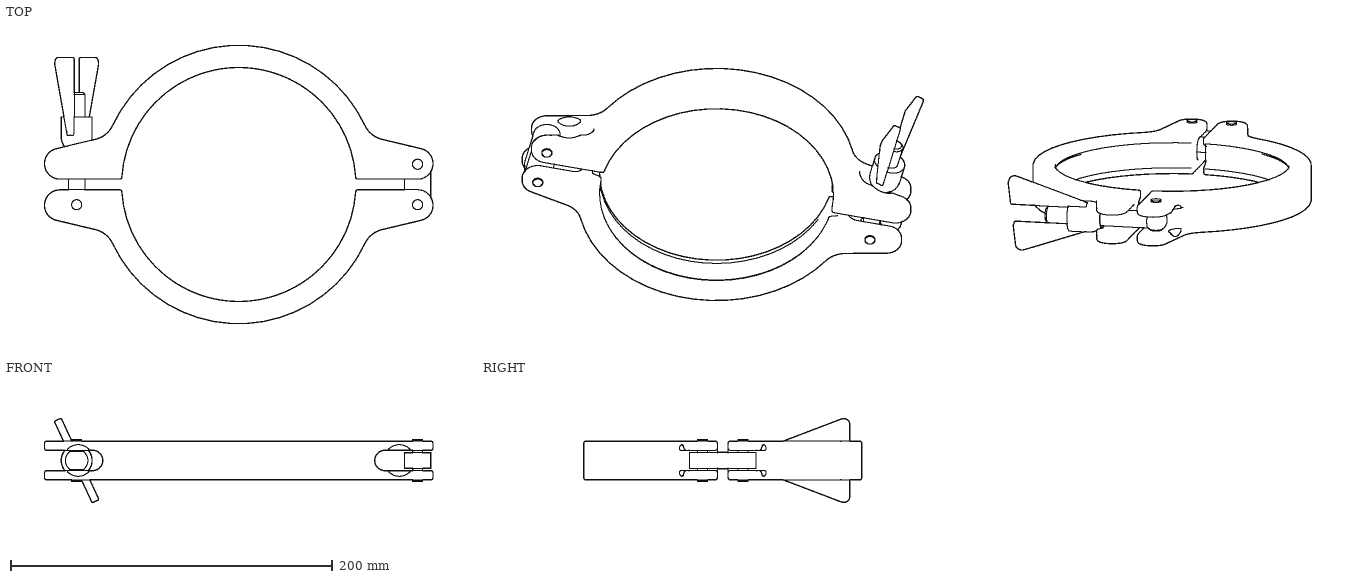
import cadquery as cq
import math

clamp_height = 24.2
ring_radius = 173.5 / 2
bore_radius = 72.8
half_gap = 6.5 / 2
edge_radius = 1.5

lug_reach = 121.0
lug_tip_radius = 9.7
lug_slope = math.radians(13.4)
lug_root_radius = 15.7
lug_tip_x = lug_reach - lug_tip_radius
lug_tip_y = half_gap + lug_tip_radius

groove_radius = 78.5
groove_mouth = 14.0
groove_wall_angle = math.radians(20)

slot_height = 12.5
slot_end_x = 84.7

pin_radius = 3.1
pin_length = 26.0
pin_y = 12.5
swivel_x = 101.0

link_radius = 8.2
link_height = 10.0

bolt_radius = 10.5 / 2
bolt_end_y = 57.4
bolt_chamfer = 1.2
eye_radius = 7.0
eye_height = 11.4

nut_radius = 9.7
nut_top_y = 42.0
dome_center_y = 29.5
nut_base_y = 22.0
seat_radius = 10.6

wing_end_y = 79.1
wing_inner = 8.0
wing_root = 9.2
wing_reach = 30.0
wing_thickness = 4.8
wing_tilt = 24.9
wing_outer_round = 3.9
wing_inner_round = 1.2
wing_edge_radius = 1.0


def polar(center, radius, angle):
    """Point at an angle (radians) on a circle."""
    return (center[0] + radius * math.cos(angle), center[1] + radius * math.sin(angle))


def half_outline():
    """Solid outline of the +Y half: two sloped lugs blended into the ring."""
    tip = (lug_tip_x, lug_tip_y)
    normal = math.pi / 2 - lug_slope
    offset = tip[0] * math.cos(normal) + tip[1] * math.sin(normal)
    offset += lug_tip_radius + lug_root_radius
    blend_distance = ring_radius + lug_root_radius
    blend_angle = normal - math.acos(offset / blend_distance)
    blend_center = polar((0, 0), blend_distance, blend_angle)
    slope_start = polar(tip, lug_tip_radius, normal)
    slope_end = polar(blend_center, lug_root_radius, normal + math.pi)
    ring_start = polar((0, 0), ring_radius, blend_angle)
    blend_mid_angle = (normal + blend_angle) / 2 + math.pi
    blend_mid = polar(blend_center, lug_root_radius, blend_mid_angle)
    tip_mid = polar(tip, lug_tip_radius, (normal - math.pi / 2) / 2)

    def left(point):
        """Mirror a point to the -X side."""
        return (-point[0], point[1])

    return (
        cq.Workplane("XY", origin=(0, 0, -clamp_height / 2))
        .moveTo(-lug_tip_x, half_gap)
        .lineTo(lug_tip_x, half_gap)
        .threePointArc(tip_mid, slope_start)
        .lineTo(*slope_end)
        .threePointArc(blend_mid, ring_start)
        .threePointArc((0, ring_radius), left(ring_start))
        .threePointArc(left(blend_mid), left(slope_end))
        .lineTo(*left(slope_start))
        .threePointArc(left(tip_mid), (-lug_tip_x, half_gap))
        .close()
    )


def bore_and_groove():
    """Bore with the tapered groove, as one revolved cutter."""
    mouth = groove_mouth / 2
    floor = mouth - (groove_radius - bore_radius) * math.tan(groove_wall_angle)
    return (
        cq.Workplane("XZ")
        .polyline([
            (0, -clamp_height), (bore_radius, -clamp_height), (bore_radius, -mouth),
            (groove_radius, -floor), (groove_radius, floor),
            (bore_radius, mouth), (bore_radius, clamp_height), (0, clamp_height),
        ])
        .close()
        .revolve(360, (0, 0, 0), (0, 1, 0))
    )


def clamp_half():
    """The +Y half: grooved, slotted, rounded on its edges, with a nut seat in each lug."""
    body = half_outline().extrude(clamp_height).cut(bore_and_groove())
    slot_center = slot_end_x + lug_reach
    for side in (-1, 1):
        slot = (
            cq.Workplane("XZ", origin=(side * slot_center, 0, 0))
            .slot2D(2 * lug_reach, slot_height)
            .extrude(-ring_radius)
        )
        body = body.cut(slot)
    sharp_edges = [edge for edge in body.edges().vals() if not is_smooth(edge)]
    body = body.newObject(sharp_edges).fillet(edge_radius)
    seat = dome_ball(seat_radius)
    return body.cut(seat).cut(seat.mirror("YZ"))


def is_smooth(edge):
    """True where tangent faces meet: along the slot end and beside the lug arcs."""
    if edge.geomType() != "LINE":
        return False
    direction = edge.tangentAt(0)
    along_slot = abs(direction.y) > 0.999
    upright_outside = abs(direction.z) > 0.999 and abs(edge.Center().x) > groove_radius
    return along_slot or upright_outside


def dome_ball(radius):
    """Ball about the dome center, for the nut base and for the seats in the lugs."""
    return cq.Workplane("XY").sphere(radius).translate((-swivel_x, dome_center_y, 0))


def upright_pin(x, y):
    """Pin along Z, centered on the clamp height."""
    return cq.Workplane("XY", origin=(x, y, 0)).circle(pin_radius).extrude(pin_length / 2, both=True)


def hinge_link():
    """Round-ended link joining the two hinge pins."""
    link = cq.Workplane("XY").slot2D(2 * (pin_y + link_radius), 2 * link_radius, 90)
    link = link.extrude(link_height / 2, both=True).translate((lug_tip_x, 0, 0))
    return link.union(upright_pin(lug_tip_x, pin_y)).union(upright_pin(lug_tip_x, -pin_y))


def along_bolt(radius, start_y, end_y):
    """Cylinder on the bolt axis between two Y positions."""
    return cq.Workplane("XZ", origin=(-swivel_x, start_y, 0)).circle(radius).extrude(start_y - end_y)


def swivel_bolt():
    """Bolt with a flattened ball eye held by a pin."""
    eye = cq.Workplane("XY").sphere(eye_radius)
    flats = cq.Workplane("XY").box(2 * eye_radius, 2 * eye_radius, eye_height)
    eye = eye.intersect(flats).translate((-swivel_x, -pin_y, 0))
    bolt = along_bolt(bolt_radius, -pin_y, bolt_end_y).faces(">Y").chamfer(bolt_chamfer)
    return bolt.union(eye).union(upright_pin(-swivel_x, -pin_y))


def wing():
    """One upright wing on the bolt axis at X = 0."""
    plate = (
        cq.Workplane("YZ", origin=(-wing_thickness / 2, 0, 0))
        .polyline([
            (dome_center_y, 0), (nut_top_y, wing_inner), (wing_end_y, wing_inner),
            (wing_end_y, wing_reach), (dome_center_y, wing_root),
        ])
        .close()
        .extrude(wing_thickness)
    )
    plate = plate.faces(">Y").edges(">Z").fillet(wing_outer_round)
    plate = plate.faces(">Y").edges("<Z").fillet(wing_inner_round)
    return plate.faces("<X or >X").edges("not <Y").fillet(wing_edge_radius)


def wing_nut():
    """Domed nut with two opposite wings tilted about the bolt axis."""
    dome = dome_ball(nut_radius).intersect(along_bolt(2 * nut_radius, nut_base_y, dome_center_y))
    nut = along_bolt(nut_radius, dome_center_y, nut_top_y).union(dome)
    for turn in (0, 180):
        turned = wing().rotate((0, 0, 0), (0, 1, 0), turn - wing_tilt)
        nut = nut.union(turned.translate((-swivel_x, 0, 0)))
    return nut


upper_half = clamp_half()
lower_half = upper_half.mirror("XZ")
result = upper_half.union(lower_half).union(hinge_link()).union(swivel_bolt()).union(wing_nut())